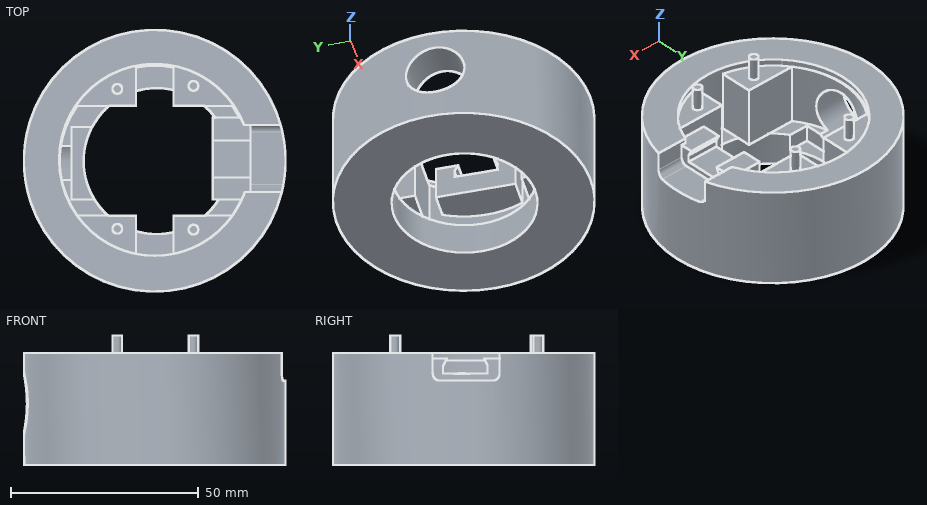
import cadquery as cq

outer_radius = 35.0
ring_height = 30.0
ledge_z = 10.0
floor_hole_radius = 19.5
floor_hole_center = (0.5, -0.1)
bore_radius = 25.4
rim_z = 28.0
rim_bore_radius = 25.6
rim_bore_center = (0.0, 0.3)

post_inner_x = 4.95
post_inner_y = 14.65
post_top_z = rim_z
pin_radius = 1.3
pin_top_z = 34.7
pin_centers = [(-10.0, 19.2), (10.35, 20.0), (-10.0, -18.2), (10.35, -18.4)]

cable_hole_radius = 8.0
cable_hole_y = -0.6
cable_hole_z = 16.55

pocket_x_min = -22.2
pocket_y_min = -10.4
pocket_y_max = 9.0
pocket_floor_z = 5.0

slot_y_min = -8.3
slot_y_max = 9.6
slot_floor_z = 22.6
slot_fillet = 1.9

block_x_min = 15.5
block_x_max = 25.6
block_y_min = -10.4
block_y_max = 11.5
block_bottom_z = 18.2
block_top_z = 28.5
groove_center_y = 0.45
groove_mouth_half_width = 4.95
groove_floor_half_width = 5.95
groove_floor_z = 24.5
groove_shoulder_z = 26.6


def cylinder(radius, z_min, z_max, center=(0.0, 0.0)):
    """Vertical cylinder between two heights."""
    return cq.Workplane("XY", origin=(*center, z_min)).circle(radius).extrude(z_max - z_min)


def box(x_min, x_max, y_min, y_max, z_min, z_max):
    """Axis-aligned box given by its limits."""
    size = (x_max - x_min, y_max - y_min, z_max - z_min)
    return cq.Workplane("XY", origin=(x_min, y_min, z_min)).box(*size, centered=False)


def make_ring():
    ring = cylinder(outer_radius, 0, ring_height)
    ring = ring.cut(cylinder(bore_radius, ledge_z, ring_height))
    ring = ring.cut(cylinder(rim_bore_radius, rim_z, ring_height, rim_bore_center))
    return ring.cut(cylinder(floor_hole_radius, 0, ledge_z, floor_hole_center))


def make_post(x_sign, y_sign):
    """Post filling one corner of the bore beyond the two inner flat faces."""
    width = outer_radius - post_inner_x
    depth = outer_radius - post_inner_y
    center = (x_sign * (post_inner_x + width / 2), y_sign * (post_inner_y + depth / 2))
    corner = cq.Workplane("XY", origin=(*center, ledge_z)).rect(width, depth).extrude(post_top_z - ledge_z)
    return corner.intersect(cylinder(outer_radius, ledge_z, post_top_z))


def make_cable_hole():
    start = (-outer_radius, cable_hole_y, cable_hole_z)
    return cq.Workplane("YZ", origin=start).circle(cable_hole_radius).extrude(pocket_x_min + outer_radius)


def make_pocket():
    return box(pocket_x_min, 0, pocket_y_min, pocket_y_max, pocket_floor_z, ledge_z)


def make_wall_slot():
    slot = box(block_x_min, outer_radius, slot_y_min, slot_y_max, slot_floor_z, ring_height)
    return slot.edges("|X and <Z").fillet(slot_fillet)


def make_grooved_block():
    block = box(block_x_min, block_x_max, block_y_min, block_y_max, block_bottom_z, block_top_z)
    half_profile = [
        (groove_floor_half_width, groove_floor_z),
        (groove_floor_half_width, groove_shoulder_z),
        (groove_mouth_half_width, block_top_z),
    ]
    mirrored_profile = [(-y, z) for y, z in reversed(half_profile)]
    groove = (
        cq.Workplane("YZ", origin=(block_x_min, groove_center_y, 0))
        .polyline(half_profile + mirrored_profile)
        .close()
        .extrude(block_x_max - block_x_min)
    )
    return block.cut(groove)


result = make_ring()
for x_side in (-1, 1):
    for y_side in (-1, 1):
        result = result.union(make_post(x_side, y_side))
result = result.cut(make_pocket())
result = result.cut(make_cable_hole())
result = result.cut(make_wall_slot())
result = result.union(make_grooved_block())
for pin_center in pin_centers:
    result = result.union(cylinder(pin_radius, ledge_z, pin_top_z, pin_center))